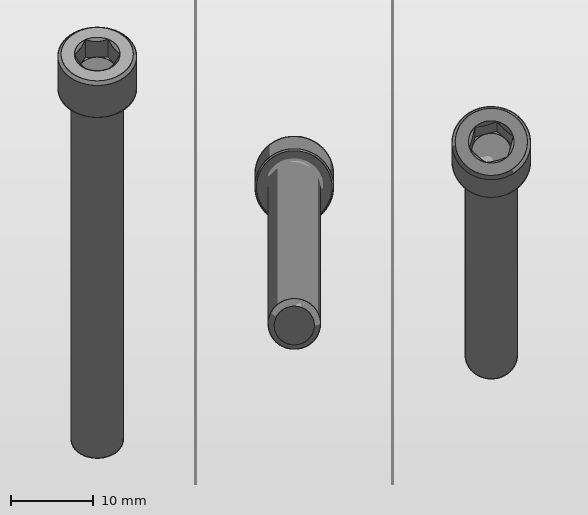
import cadquery as cq
import math

shank_diameter = 6.35
shank_length = 63.5
head_diameter = 9.525
head_height = shank_diameter

head_top_chamfer = 0.4
head_bottom_chamfer = 0.2
neck_fillet = 0.4
tip_chamfer = 0.75

socket_across_flats = 4.7625
hexagon_half_sector = 30
socket_across_corners = socket_across_flats / math.cos(math.radians(hexagon_half_sector))
socket_depth = head_height / 2
socket_mouth_angle = 90
socket_floor_point_angle = 120

head_top = head_height
tip_bottom = -shank_length


def make_body():
    """Head and shank, revolved from one half profile."""
    shank_radius = shank_diameter / 2
    head_radius = head_diameter / 2
    fillet_mid_offset = neck_fillet * (1 - math.sqrt(0.5))
    profile = (
        cq.Workplane("XZ")
        .moveTo(0, tip_bottom)
        .lineTo(shank_radius - tip_chamfer, tip_bottom)
        .lineTo(shank_radius, tip_bottom + tip_chamfer)
        .lineTo(shank_radius, -neck_fillet)
        .threePointArc(
            (shank_radius + fillet_mid_offset, -fillet_mid_offset),
            (shank_radius + neck_fillet, 0),
        )
        .lineTo(head_radius - head_bottom_chamfer, 0)
        .lineTo(head_radius, head_bottom_chamfer)
        .lineTo(head_radius, head_top - head_top_chamfer)
        .lineTo(head_radius - head_top_chamfer, head_top)
        .lineTo(0, head_top)
        .close()
    )
    return profile.revolve(360, (0, 0, 0), (0, 1, 0))


def make_cone(base_radius, height, base_z):
    """Cone standing point down from the given base height."""
    base_center = cq.Vector(0, 0, base_z)
    downward = cq.Vector(0, 0, -1)
    return cq.Workplane(cq.Solid.makeCone(base_radius, 0, height, base_center, downward))


def make_socket():
    """Hexagonal recess with a countersunk mouth and a drill-point floor."""
    floor_z = head_top - socket_depth
    hexagon = (
        cq.Workplane("XY", origin=(0, 0, floor_z))
        .polygon(6, socket_across_corners)
        .extrude(socket_depth)
        .rotate((0, 0, 0), (0, 0, 1), hexagon_half_sector)
    )
    mouth_radius = socket_across_corners / 2
    mouth_depth = mouth_radius / math.tan(math.radians(socket_mouth_angle / 2))
    mouth = make_cone(mouth_radius, mouth_depth, head_top)

    point_radius = socket_across_flats / 2
    point_depth = point_radius / math.tan(math.radians(socket_floor_point_angle / 2))
    point = make_cone(point_radius, point_depth, floor_z)
    return hexagon.union(mouth).union(point)


result = make_body().cut(make_socket())